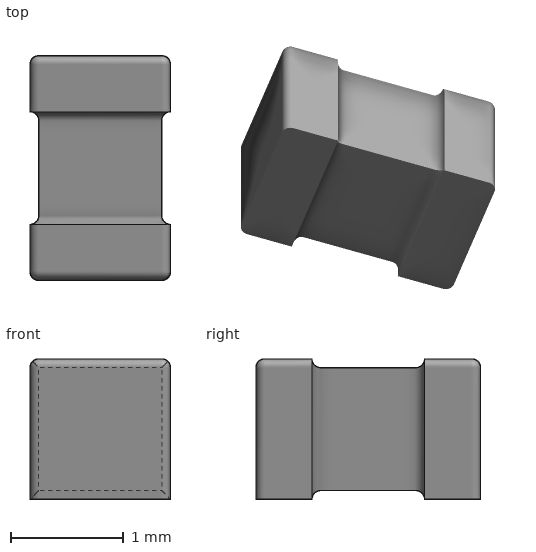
import cadquery as cq

width = 1.25
length = 2.0
height = 1.25

cap_length = 0.5
recess = 0.078
edge_radius = recess
cove_radius = recess

waist_length = length - 2 * cap_length


def make_envelope():
    """Full-size block, rounded along its upright and top edges."""
    block = cq.Workplane("XY").box(width, length, height)
    return block.edges("|Z or >Z").fillet(edge_radius)


def make_waist_cutter():
    """Strip to be removed above the body's +Z face, with both coves along its lower edges.

    It is longer than the part is wide or high, so it clears the corners.
    """
    cutter_span = 2 * max(width, height)
    strip = cq.Workplane("XY").box(cutter_span, waist_length, 2 * recess)
    strip = strip.edges("|X and <Z").fillet(cove_radius)
    return strip.translate((0, 0, recess))


def cut_waist(block):
    """Neck the block down to the body on the top, bottom and both sides."""
    body_half_width = width / 2 - recess
    body_half_height = height / 2 - recess
    faces = (
        (0, body_half_height),
        (90, body_half_width),
        (180, body_half_height),
        (270, body_half_width),
    )
    for angle, distance in faces:
        cutter = make_waist_cutter().translate((0, 0, distance))
        block = block.cut(cutter.rotate((0, 0, 0), (0, 1, 0), angle))
    return block


result = cut_waist(make_envelope()).translate((0, 0, height / 2))